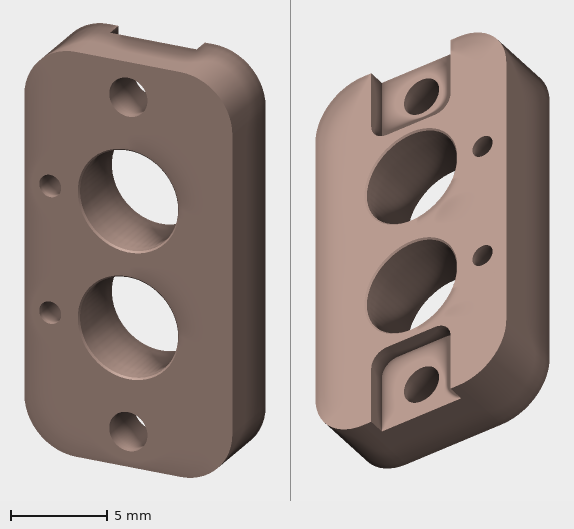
import cadquery as cq

width = 12.0
thickness = 4.0
height = 23.0
corner_radius = 3.0

bore_diameter = 5.65
bore_pitch = 7.2
bore_chamfer = 0.1

screw_diameter = 2.2
screw_pitch = 19.0

pin_diameter = 1.27
pin_offset = 4.5

recess_width = 5.0
recess_depth = 1.0
recess_radius = 1.0

rear = thickness / 2
screw_edge_distance = (height - screw_pitch) / 2
recess_height = screw_edge_distance + recess_width / 2


def block():
    """Plate with rounded corners."""
    return cq.Workplane("XY").box(width, thickness, height).edges("|Y").fillet(corner_radius)


def through_hole(diameter, x, z):
    """Cylinder along Y through the full thickness."""
    return cq.Workplane("XZ").center(x, z).circle(diameter / 2).extrude(thickness / 2, both=True)


def chamfered_bore(z):
    """Profile of a bore with 45 degree lead-ins, revolved about its axis along Y."""
    radius = bore_diameter / 2
    mouth_radius = radius + bore_chamfer
    return (
        cq.Workplane("XY", origin=(0, 0, z))
        .moveTo(0, -rear)
        .lineTo(mouth_radius, -rear)
        .lineTo(radius, -rear + bore_chamfer)
        .lineTo(radius, rear - bore_chamfer)
        .lineTo(mouth_radius, rear)
        .lineTo(0, rear)
        .close()
        .revolve(360, (0, 0, 0), (0, 1, 0))
    )


def upper_recess():
    """Pocket open at the rear and top, with rounded lower corners."""
    return (
        cq.Workplane("XY")
        .box(recess_width, recess_depth, recess_height)
        .edges("|Y and <Z")
        .fillet(recess_radius)
        .translate((0, rear - recess_depth / 2, (height - recess_height) / 2))
    )


result = block()

for side in (-1, 1):
    bore_z = side * bore_pitch / 2
    result = result.cut(chamfered_bore(bore_z))
    result = result.cut(through_hole(pin_diameter, -pin_offset, bore_z))
    result = result.cut(through_hole(screw_diameter, 0, side * screw_pitch / 2))

result = result.cut(upper_recess())
result = result.cut(upper_recess().mirror("XY"))